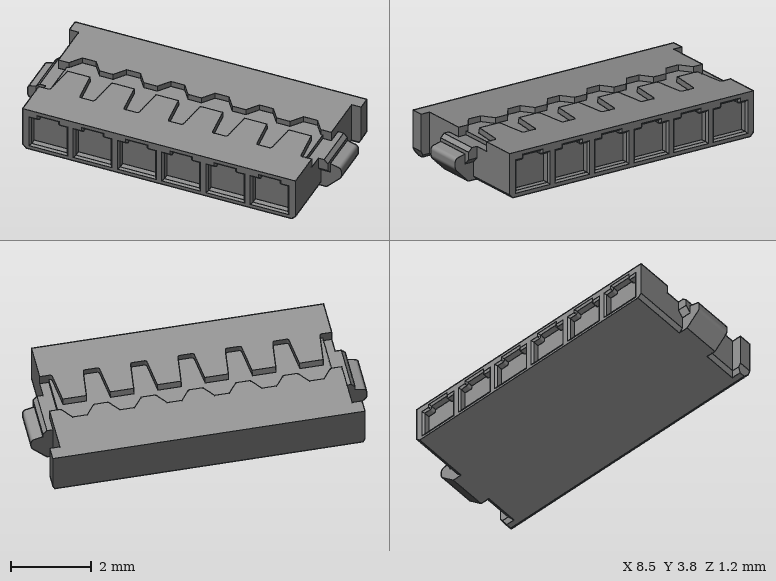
import cadquery as cq
import math

overall_length = 8.5
overall_depth = 3.8
height = 1.2

body_half = 3.7
flange_half = 3.95
flange_thickness = 0.36
bottom_chamfer = 0.1
flange_chamfer_width = 0.1
flange_chamfer_height = 0.2

contact_count = 6
pitch = 1.2
pocket_width = 1.05
pocket_floor_z = 0.1
pocket_shoulder_z = 0.995
pocket_depth = 0.2
pocket_lead_in = 0.05
notch_half = 0.31
notch_top_z = 1.1

recess_front = 0.995
recess_rear = 2.19
recess_floor_z = 1.045
recess_floor_half = 3.47
side_floor_z = 0.94
tooth_tip_y = 1.9
tooth_tip_half = 0.3
tooth_base_half = 0.4
tooth_root_radius = 0.06
tooth_tip_draft = 0.04
scallop_y = 2.51
scallop_top_half = 0.19
scallop_base_half = 0.42

latch_rear = 2.6
lip_front = 1.4
lip_chamfer = 0.1
lip_bottom_z = 0.485
lip_corner_chamfer = 0.15
tab_front = lip_front + lip_corner_chamfer
tab_top_z = 0.75
tab_slope = 14.0
tab_corner_z = 0.4
tab_upper_radius = 0.11
tab_lower_radius = 0.15

contact_xs = [(i - (contact_count - 1) / 2) * pitch for i in range(contact_count)]
tab_half = overall_length / 2


def box(x_min, x_max, y_min, y_max, z_min, z_max):
    """Box given by its limits along each axis."""
    size = (x_max - x_min, y_max - y_min, z_max - z_min)
    return cq.Workplane("XY").box(*size, centered=False).translate((x_min, y_min, z_min))


def along_y(points, y_min, y_max):
    """Prism with an XZ outline between two Y positions."""
    return cq.Workplane("XZ", origin=(0, y_min, 0)).polyline(points).close().extrude(y_min - y_max)


def make_body():
    """Block with its lower side edges and lower rear edge chamfered."""
    body = box(-body_half, body_half, 0, overall_depth, 0, height)
    body = body.edges("|Y and <Z").chamfer(bottom_chamfer)
    return body.edges("|X and <Z and >Y").chamfer(bottom_chamfer)


def make_flange():
    """Wider plate at the rear with a steep lower chamfer at each end."""
    bottom_half = flange_half - flange_chamfer_width
    outline = [
        (-bottom_half, 0),
        (bottom_half, 0),
        (flange_half, flange_chamfer_height),
        (flange_half, height),
        (-flange_half, height),
        (-flange_half, flange_chamfer_height),
    ]
    flange = along_y(outline, overall_depth - flange_thickness, overall_depth)
    return flange.edges("|X and <Z").chamfer(bottom_chamfer)


def make_pocket():
    """Notched contact pocket centred on X = 0, flared at 45 degrees at its mouth."""
    half = pocket_width / 2
    mouth = (
        cq.Workplane("XZ")
        .polyline([
            (-half, pocket_floor_z),
            (half, pocket_floor_z),
            (half, pocket_shoulder_z),
            (notch_half, pocket_shoulder_z),
            (notch_half, notch_top_z),
            (-notch_half, notch_top_z),
            (-notch_half, pocket_shoulder_z),
            (-half, pocket_shoulder_z),
        ])
        .close()
    )
    flare = mouth.extrude(-pocket_lead_in, taper=45)
    inner_outline = flare.faces(">Y").wires().toPending()
    return inner_outline.extrude(pocket_lead_in - pocket_depth)


def make_recess():
    """Toothed and scalloped recess, with a deeper open step at each end."""
    front = [(-body_half, recess_front)]
    rear = [(-body_half, recess_rear)]
    for x in contact_xs:
        front += [
            (x - tooth_base_half, recess_front),
            (x - tooth_tip_half, tooth_tip_y),
            (x + tooth_tip_half, tooth_tip_y),
            (x + tooth_base_half, recess_front),
        ]
        rear += [
            (x - scallop_base_half, recess_rear),
            (x - scallop_top_half, scallop_y),
            (x + scallop_top_half, scallop_y),
            (x + scallop_base_half, recess_rear),
        ]
    front.append((body_half, recess_front))
    rear.append((body_half, recess_rear))
    recess = (
        cq.Workplane("XY", origin=(0, 0, recess_floor_z))
        .polyline(front + rear[::-1])
        .close()
        .extrude(height - recess_floor_z)
    )
    root_zone = cq.selectors.BoxSelector(
        (-recess_floor_half, recess_front - tooth_root_radius, recess_floor_z),
        (recess_floor_half, recess_front + tooth_root_radius, height),
    )
    recess = recess.edges("|Z").edges(root_zone).fillet(tooth_root_radius)

    tip_wedge = (
        cq.Workplane("YZ", origin=(-recess_floor_half, 0, 0))
        .polyline([
            (tooth_tip_y, recess_floor_z),
            (tooth_tip_y, height),
            (tooth_tip_y - tooth_tip_draft, height),
        ])
        .close()
        .extrude(2 * recess_floor_half)
    )
    recess = recess.union(tip_wedge)

    step = box(recess_floor_half, body_half, recess_front, recess_rear, side_floor_z, height)
    return recess.union(step).union(step.mirror("YZ"))


def make_latch():
    """Latch on the +X end: an upper lip with a sloped, round-nosed tab below it."""
    lip = along_y(
        [
            (recess_floor_half, lip_bottom_z),
            (flange_half, lip_bottom_z),
            (flange_half, side_floor_z - lip_chamfer),
            (flange_half - lip_chamfer, side_floor_z),
            (recess_floor_half, side_floor_z),
        ],
        lip_front,
        latch_rear,
    )
    lip = lip.edges("|X and <Z and <Y").chamfer(lip_corner_chamfer)

    slope_drop = (tab_half - flange_half) * math.tan(math.radians(tab_slope))
    tip_top_z = tab_top_z - slope_drop
    tab = along_y(
        [
            (recess_floor_half, 0),
            (tab_half - tab_corner_z, 0),
            (tab_half, tab_corner_z),
            (tab_half, tip_top_z),
            (flange_half, tab_top_z),
            (recess_floor_half, tab_top_z),
        ],
        tab_front,
        latch_rear,
    )
    tab = tab.faces(">X").edges("|Y and >Z").fillet(tab_upper_radius)
    tab = tab.faces(">X").edges("|Y and <Z").fillet(tab_lower_radius)
    return lip.union(tab)


latch = make_latch()
pocket = make_pocket()

result = make_body().union(make_flange())
result = result.union(latch).union(latch.mirror("YZ"))
result = result.cut(make_recess())
for contact_x in contact_xs:
    result = result.cut(pocket.translate((contact_x, 0, 0)))